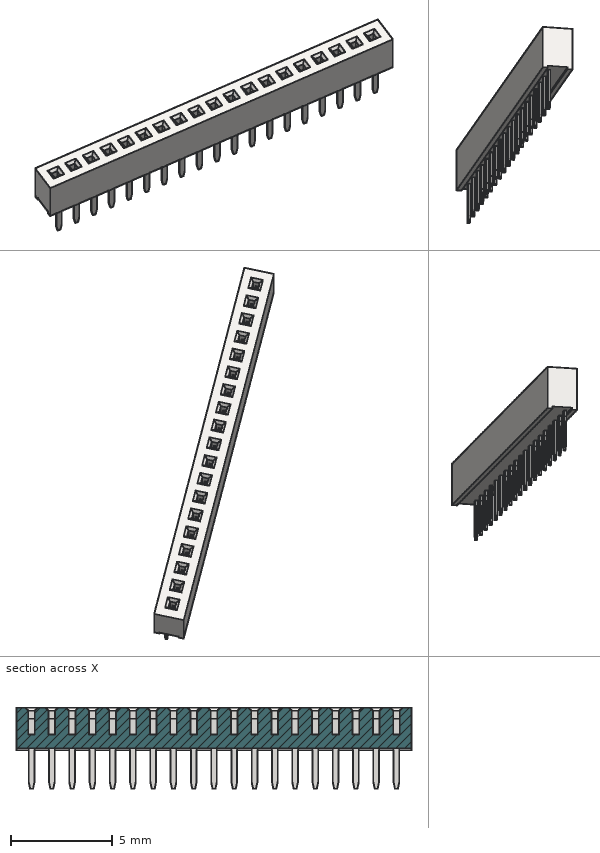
import cadquery as cq

contact_count = 19
body_length = 19.5
body_width = 1.5
total_height = 4.0
body_height = 2.1
end_margin = 0.75
pitch = body_length / (contact_count - 1 + 2 * end_margin)

channel_width = 1.0
channel_depth = 0.1

mouth_size = 0.6
well_size = 0.31
mouth_depth = (mouth_size - well_size) / 2
well_depth = 1.17

blade_thickness = 0.08
blade_gap = 0.39

pin_thickness = 0.1
pin_width = 0.3
pin_tip_width = 0.15
pin_tip_length = 0.33
pin_offset_x = 0.3
pin_length = total_height - body_height

contact_positions = [(i - (contact_count - 1) / 2) * pitch for i in range(contact_count)]


def make_housing():
    """Long block with a channel along its underside."""
    block = cq.Workplane("XY").box(body_width, body_length, body_height, centered=(True, True, False))
    channel = cq.Workplane("XY").box(channel_width, body_length, channel_depth, centered=(True, True, False))
    return block.cut(channel)


def make_socket(y):
    """Cavity of one socket, less the blade that stays standing in it."""
    mouth_bottom = body_height - mouth_depth
    mouth = (
        cq.Workplane("XY", origin=(0, y, mouth_bottom))
        .rect(well_size, well_size)
        .workplane(offset=mouth_depth)
        .rect(mouth_size, mouth_size)
        .loft(ruled=True)
    )
    well = (
        cq.Workplane("XY", origin=(0, y, mouth_bottom - well_depth))
        .box(well_size, well_size, well_depth, centered=(True, True, False))
    )
    blade_height = well_depth - blade_gap
    blade = (
        cq.Workplane("XY", origin=(0, y, mouth_bottom - well_depth))
        .box(blade_thickness, well_size, blade_height, centered=(True, True, False))
    )
    return mouth.union(well.cut(blade))


def make_pin(y):
    """Flat pin hanging from the channel roof, tapering to its tip."""
    shoulder = pin_tip_length - pin_length
    return (
        cq.Workplane("YZ", origin=(pin_offset_x, y, 0))
        .polyline([
            (-pin_width / 2, channel_depth),
            (-pin_width / 2, shoulder),
            (-pin_tip_width / 2, -pin_length),
            (pin_tip_width / 2, -pin_length),
            (pin_width / 2, shoulder),
            (pin_width / 2, channel_depth),
        ])
        .close()
        .extrude(pin_thickness / 2, both=True)
    )


result = make_housing()
for contact_y in contact_positions:
    result = result.cut(make_socket(contact_y)).union(make_pin(contact_y))